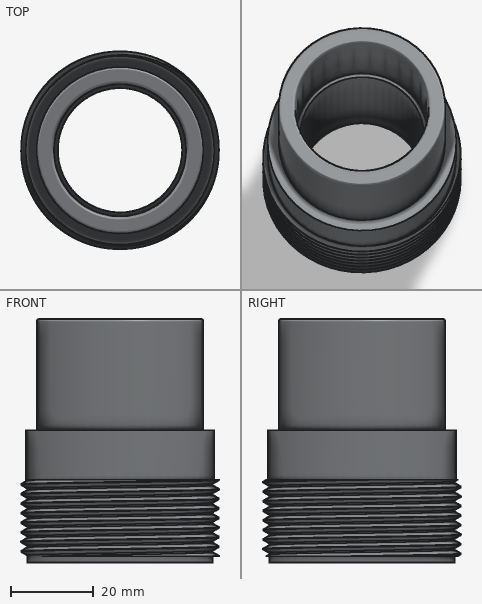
import cadquery as cq

total_height = 58.8
shoulder_height = 32.0
thread_bottom = 1.5
thread_top = 20.0

collar_diameter = 45.5
core_diameter = 44.85
spigot_diameter = 40.2
rim_fillet = 0.6

bore_diameter = 30.0
socket_depth = 23.0
socket_bottom_diameter = 31.85
socket_mouth_diameter = 32.35

thread_diameter = 47.8
thread_turns = 8
thread_pitch = (thread_top - thread_bottom) / thread_turns
thread_crest_width = 0.2
thread_root_width = 1.9
thread_embed = 0.25


def revolve_profile(points):
    """Revolve a closed (radius, height) outline about the Z axis."""
    return cq.Workplane("XZ").polyline(points).close().revolve(360, (0, 0), (0, 1))


def make_outer_body():
    core_radius = core_diameter / 2
    collar_radius = collar_diameter / 2
    spigot_radius = spigot_diameter / 2
    return revolve_profile([
        (0, 0),
        (core_radius, 0),
        (core_radius, thread_top),
        (collar_radius, thread_top),
        (collar_radius, shoulder_height),
        (spigot_radius, shoulder_height),
        (spigot_radius, total_height),
        (0, total_height),
    ])


def make_passage():
    bore_radius = bore_diameter / 2
    socket_floor = total_height - socket_depth
    return revolve_profile([
        (0, 0),
        (bore_radius, 0),
        (bore_radius, socket_floor),
        (socket_bottom_diameter / 2, socket_floor),
        (socket_mouth_diameter / 2, total_height),
        (0, total_height),
    ])


def make_thread():
    """Helical ridge, one turn too long at each end, cut flat at the thread ends."""
    core_radius = core_diameter / 2
    crest_radius = thread_diameter / 2
    inner_radius = core_radius - thread_embed
    flank_run = (thread_root_width - thread_crest_width) / 2 / (crest_radius - core_radius)
    half_foot = thread_root_width / 2 + thread_embed * flank_run
    half_crest = thread_crest_width / 2
    start = thread_bottom - thread_pitch

    path = cq.Wire.makeHelix(
        thread_pitch, thread_pitch * (thread_turns + 2), core_radius, cq.Vector(0, 0, start)
    )
    ridge = (
        cq.Workplane("XZ")
        .polyline([
            (inner_radius, start - half_foot),
            (crest_radius, start - half_crest),
            (crest_radius, start + half_crest),
            (inner_radius, start + half_foot),
        ])
        .close()
        .sweep(cq.Workplane(path), isFrenet=True)
    )
    envelope = (
        cq.Workplane("XY", origin=(0, 0, thread_bottom))
        .circle(thread_diameter)
        .extrude(thread_top - thread_bottom)
    )
    return ridge.intersect(envelope)


body = make_outer_body().cut(make_passage()).faces(">Z").edges().fillet(rim_fillet)
result = body.union(make_thread())